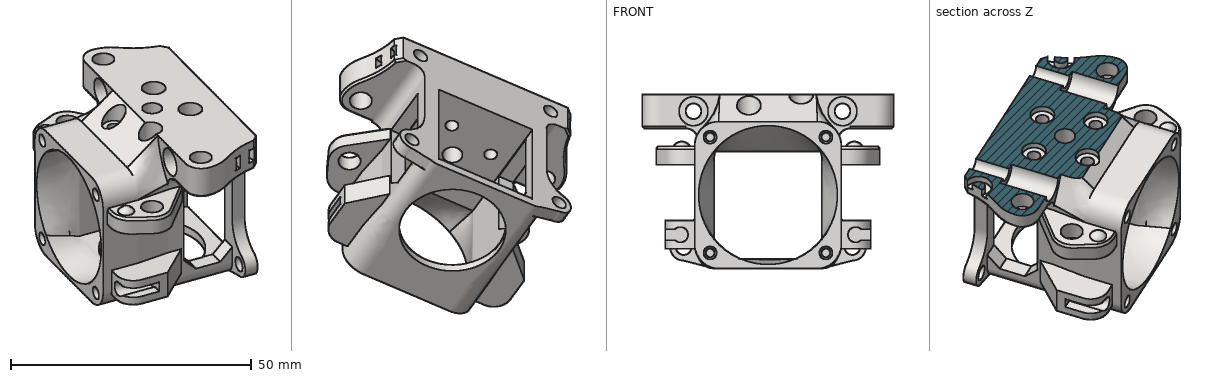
import cadquery as cq
import math

depth = 33.7
height = 36.25

frame_side = 30.6
frame_half = frame_side / 2
frame_depth = 8.35
frame_corner = 5.05
opening_radius = 14.45
screw_offset = 12.05
screw_mouth = 2.7
screw_tip = 1.8
screw_depth = 6.0

body_half = 14.55
body_corner = 3.25
duct_half = 11.15
duct_bottom = 2.0
duct_top = duct_bottom + 2 * duct_half
floor_hole_radius = 11.1

plate_front = 15.6
plate_bottom = 29.1
plate_edge = 0.45
plate_half = 26.2
plate_back_half = 19.6
ear_corner = 3.65
ear_shoulder_step = (1.35, 4.55)
ear_flank_step = (1.1, 1.7)
ear_waist_step = (2.7, 6.85)
plate_fillet = 2.5
neck_half = 10.05
neck_shoulder = 26.95
neck_waist = (11.75, 31.05)
bolt_x = 15.5
bolt_z = 32.75
bolt_diameter = 3.2
bolt_head_diameter = 6.0
bolt_head_depth = 10.5
pattern_y = 19.55
ear_hole_x = 21.85
ear_hole_diameter = 4.6
center_hole_diameter = 4.2
pattern_radius = 7.95
pattern_hole_diameter = 2.7
pattern_head_diameter = 5.0
pattern_head_floor = 31.4

tie_x = 21.2
tie_y = 29.8
tie_outer_radius = 2.85
tie_inner_radius = 1.4
tie_bottom = 31.15
tie_height = 3.05

window_front = 19.4
window_back = 30.75
window_bottom = 4.2
window_top = 24.0
window_chamfer = 2.85

lug_x = 17.55
lug_z = 4.45
lug_radius = 2.85
lug_hole_diameter = 3.2
lug_blend_z = 13.5

tab_root = body_half
upper_tab_bottom = 21.6
upper_tab_top = 25.45
upper_tab_back = 18.95
upper_tab_front = 1.0
upper_tab_peak = (-24.3, 10.7)
upper_tab_peak_radius = 4.4
upper_tab_toe = (-19.8, upper_tab_front)
upper_tab_toe_radius = 4.8
upper_tab_chamfer_height = 0.65
upper_tab_chamfer_width = 0.35
upper_tab_hole = (-18.95, 9.6)
upper_tab_hole_diameter = 4.6
bump_place = (-17.95, 4.05)
bump_base_radius = 1.75
bump_height = 1.0
lower_tab_bottom = 4.1
lower_tab_top = 10.0
lower_tab_front = 2.0
lower_tab_bend = 11.95
lower_tab_back = 18.75
lower_tab_side = 21.4
lower_tab_corner = 4.0
key_x = 18.2
key_diameter = 3.2
key_slot = 2.25
key_depth = 8.0


def both_sides(left):
    """The left-hand feature together with its mirror image at +X."""
    return left.union(left.mirror("YZ"))


def front_plane(y):
    """Sketch plane at depth y with local axes X and Z; extrusion runs towards +Y."""
    return cq.Plane(origin=(0, y, 0), xDir=(1, 0, 0), normal=(0, -1, 0))


def extrude_back(sketch, length):
    return sketch.extrude(-length)


def y_cylinder(x, z, y, diameter, length):
    return extrude_back(cq.Workplane(front_plane(y)).center(x, z).circle(diameter / 2), length)


def z_cylinder(x, y, z, diameter, length):
    return cq.Workplane("XY", origin=(x, y, z)).circle(diameter / 2).extrude(length)


def corner_middle(radius):
    """Inset of the middle of a rounded corner from the sharp corner."""
    return radius * (1 - math.sqrt(0.5))


def shell_section(y, half, corner, top, top_half, shoulder, shoulder_middle):
    """Closed section with rounded bottom corners and arcs leading from the sides to the top."""
    inset = corner_middle(corner)
    mid_x, mid_z = shoulder_middle
    return (
        cq.Workplane(front_plane(y))
        .moveTo(-half + corner, 0)
        .lineTo(half - corner, 0)
        .threePointArc((half - inset, inset), (half, corner))
        .lineTo(half, shoulder)
        .threePointArc((mid_x, mid_z), (top_half, top))
        .lineTo(-top_half, top)
        .threePointArc((-mid_x, mid_z), (-half, shoulder))
        .lineTo(-half, corner)
        .threePointArc((-half + inset, inset), (-half + corner, 0))
        .close()
    )


def frame_section(y):
    inset = corner_middle(frame_corner)
    return shell_section(
        y,
        frame_half,
        frame_corner,
        frame_side,
        frame_half - frame_corner,
        frame_side - frame_corner,
        (frame_half - inset, frame_side - inset),
    )


def neck_section(y):
    return shell_section(y, body_half, body_corner, height, neck_half, neck_shoulder, neck_waist)


def ruled_loft(first, second):
    wires = [first.wires().val(), second.wires().val()]
    return cq.Workplane(cq.Solid.makeLoft(wires, True))


def make_shell():
    """Front frame, sloping neck and the straight body that carries the plate."""
    frame = extrude_back(frame_section(0), frame_depth)
    neck = ruled_loft(frame_section(frame_depth), neck_section(plate_front))
    length = depth - plate_front
    inset = corner_middle(body_corner)
    fillet_inset = corner_middle(plate_fillet)
    fillet_start = plate_bottom - plate_fillet
    body = (
        cq.Workplane(front_plane(plate_front))
        .moveTo(0, 0)
        .lineTo(-body_half + body_corner, 0)
        .threePointArc((-body_half + inset, inset), (-body_half, body_corner))
        .lineTo(-body_half, fillet_start)
        .threePointArc(
            (-body_half - fillet_inset, plate_bottom - fillet_inset),
            (-body_half - plate_fillet, plate_bottom),
        )
        .lineTo(-body_half - plate_fillet, plate_bottom + plate_edge)
        .lineTo(0, plate_bottom + plate_edge)
        .close()
    )
    return frame.union(neck).union(both_sides(extrude_back(body, length)))


def make_plate():
    """Top plate with two ears, front bolt holes and tie channels."""
    ear_inset = corner_middle(ear_corner)
    outline = (
        cq.Workplane("XY", origin=(0, 0, plate_bottom))
        .moveTo(0, plate_front)
        .lineTo(-plate_half + ear_corner, plate_front)
        .threePointArc(
            (-plate_half + ear_inset, plate_front + ear_inset),
            (-plate_half, plate_front + ear_corner),
        )
        .tangentArcPoint(ear_shoulder_step)
        .line(*ear_flank_step)
        .tangentArcPoint(ear_waist_step)
        .lineTo(-plate_back_half, depth)
        .lineTo(0, depth)
        .mirrorY()
    )
    plate = outline.extrude(height - plate_bottom)
    plate = plate.faces("<Z").edges("not >Y").chamfer(plate_edge)

    bolt = y_cylinder(-bolt_x, bolt_z, plate_front, bolt_diameter, depth - plate_front)
    bolt_head = y_cylinder(-bolt_x, bolt_z, plate_front, bolt_head_diameter, bolt_head_depth)
    tie = (
        cq.Workplane("XY", origin=(-tie_x, tie_y, tie_bottom))
        .circle(tie_outer_radius)
        .circle(tie_inner_radius)
        .extrude(tie_height)
    )
    return plate.cut(both_sides(bolt.union(bolt_head).union(tie)))


def make_lugs():
    """Back lugs blended into the body sides by a concave arc tangent to both."""
    offset = lug_x - body_half
    rise = lug_blend_z - lug_z
    blend = (offset**2 + rise**2 - lug_radius**2) / (2 * (lug_radius + offset))
    blend_x = -body_half - blend
    share = lug_radius / (lug_radius + blend)
    meet = (-lug_x + share * (blend_x + lug_x), lug_z + share * rise)
    half_angle = math.atan2(lug_z - lug_blend_z, -lug_x - blend_x) / 2
    blend_middle = (blend_x + blend * math.cos(half_angle), lug_blend_z + blend * math.sin(half_angle))
    outline = (
        cq.Workplane(front_plane(window_back))
        .moveTo(-duct_half, lug_blend_z)
        .lineTo(-body_half, lug_blend_z)
        .threePointArc(blend_middle, meet)
        .threePointArc((-lug_x - lug_radius, lug_z), (-lug_x, lug_z - lug_radius))
        .lineTo(-body_half + body_corner, 0)
        .lineTo(-duct_half + body_corner, duct_bottom)
        .close()
    )
    return both_sides(extrude_back(outline, depth - window_back))


def make_upper_tab():
    tab = (
        cq.Workplane("XY", origin=(0, 0, upper_tab_bottom))
        .polyline([
            (-tab_root, upper_tab_back),
            upper_tab_peak,
            upper_tab_toe,
            (-tab_root, upper_tab_front),
        ])
        .close()
        .extrude(upper_tab_top - upper_tab_bottom)
    )
    tab = tab.edges("|Z and <X").fillet(upper_tab_peak_radius)
    toe_middle = (*upper_tab_toe, (upper_tab_bottom + upper_tab_top) / 2)
    tab = tab.edges(cq.selectors.NearestToPointSelector(toe_middle)).fillet(upper_tab_toe_radius)
    tab = tab.faces(">Z").edges("not >X").chamfer(upper_tab_chamfer_height, upper_tab_chamfer_width)
    tab = tab.cut(z_cylinder(*upper_tab_hole, upper_tab_bottom, upper_tab_hole_diameter, height))
    bump_radius = (bump_base_radius**2 + bump_height**2) / (2 * bump_height)
    bump = cq.Workplane("XY").sphere(bump_radius).translate(
        (*bump_place, upper_tab_top + bump_height - bump_radius)
    )
    return tab.union(bump)


def make_lower_tab():
    """Lower tab with a keyhole groove open to the front and to the side."""
    tab = (
        cq.Workplane("XY", origin=(0, 0, lower_tab_bottom))
        .moveTo(-tab_root, lower_tab_front)
        .lineTo(-lower_tab_side + lower_tab_corner, lower_tab_front)
        .radiusArc((-lower_tab_side, lower_tab_front + lower_tab_corner), lower_tab_corner)
        .lineTo(-lower_tab_side, lower_tab_bend)
        .lineTo(-tab_root, lower_tab_back)
        .close()
        .extrude(lower_tab_top - lower_tab_bottom)
    )
    key_z = (lower_tab_bottom + lower_tab_top) / 2
    bore = y_cylinder(-key_x, key_z, lower_tab_front, key_diameter, key_depth)
    slot_length = lower_tab_side - key_x
    slot = (
        cq.Workplane("XY")
        .box(slot_length, key_depth, key_slot, centered=(False, False, True))
        .translate((-lower_tab_side, lower_tab_front, key_z))
    )
    return tab.cut(bore).cut(slot)


def make_duct():
    """Air passage: a round front opening that becomes square behind the frame."""
    middle = (duct_bottom + duct_top) / 2
    reach = opening_radius * math.sqrt(0.5)
    round_end = (
        cq.Workplane(front_plane(0))
        .moveTo(-reach, frame_half - reach)
        .threePointArc((0, frame_half - opening_radius), (reach, frame_half - reach))
        .threePointArc((opening_radius, frame_half), (reach, frame_half + reach))
        .threePointArc((0, frame_half + opening_radius), (-reach, frame_half + reach))
        .threePointArc((-opening_radius, frame_half), (-reach, frame_half - reach))
        .close()
    )
    square_end = cq.Workplane(front_plane(frame_depth)).polyline([
        (-duct_half, duct_bottom),
        (duct_half, duct_bottom),
        (duct_half, duct_top),
        (-duct_half, duct_top),
    ]).close()
    tunnel = extrude_back(
        cq.Workplane(front_plane(frame_depth)).center(0, middle).rect(2 * duct_half, 2 * duct_half),
        depth - frame_depth,
    )
    return ruled_loft(round_end, square_end).union(tunnel)


def make_window():
    """Opening through both side walls with sloping lower corners."""
    window = (
        cq.Workplane("XY")
        .box(
            2 * body_half,
            window_back - window_front,
            window_top - window_bottom,
            centered=(True, False, False),
        )
        .translate((0, window_front, window_bottom))
    )
    return window.edges("|X and <Z").chamfer(window_chamfer)


def make_vertical_holes():
    """Plate holes, ear holes and the large hole in the floor."""
    holes = z_cylinder(0, pattern_y, duct_bottom, center_hole_diameter, height)
    for side in (-1, 1):
        holes = holes.union(z_cylinder(side * ear_hole_x, pattern_y, plate_bottom, ear_hole_diameter, height))
    for angle in (60, 150, 240, 330):
        x = pattern_radius * math.cos(math.radians(angle))
        y = pattern_y + pattern_radius * math.sin(math.radians(angle))
        holes = holes.union(z_cylinder(x, y, duct_bottom, pattern_hole_diameter, height))
        holes = holes.union(z_cylinder(x, y, pattern_head_floor, pattern_head_diameter, height))
    return holes.union(z_cylinder(0, pattern_y, 0, 2 * floor_hole_radius, duct_bottom))


def make_screw_holes():
    """Blind tapered holes in the four corners of the frame."""
    holes = cq.Workplane("XY")
    for x in (-screw_offset, screw_offset):
        for z in (frame_half - screw_offset, frame_half + screw_offset):
            start = cq.Vector(x, 0, z)
            direction = cq.Vector(0, 1, 0)
            holes.add(cq.Solid.makeCone(screw_mouth / 2, screw_tip / 2, screw_depth, start, direction))
    return holes.combine()


def make_lug_holes():
    left = y_cylinder(-lug_x, lug_z, window_back, lug_hole_diameter, depth - window_back)
    return both_sides(left)


body = make_plate().union(make_shell()).union(make_lugs())
body = body.union(both_sides(make_upper_tab().union(make_lower_tab())))
body = body.cut(make_duct()).cut(make_window())
result = body.cut(make_vertical_holes()).cut(make_screw_holes()).cut(make_lug_holes())